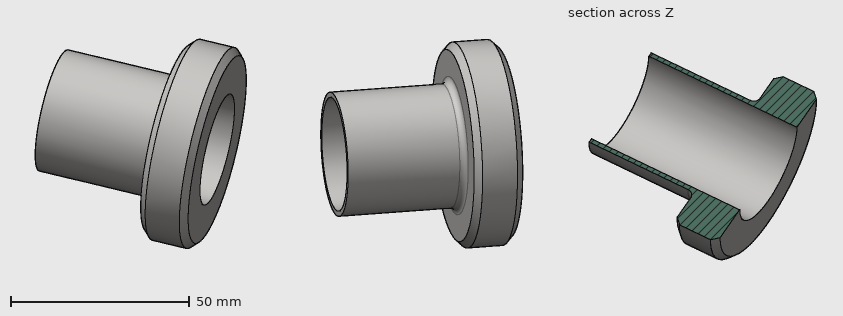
import cadquery as cq

total_length = 48.0
tube_diameter = 35.0
bore_diameter = 32.0
flange_diameter = 58.0
flange_thickness = 14.0
flange_chamfer = 2.0
neck_fillet = 2.0

flange_start = total_length - flange_thickness


def chamfered_flange():
    """Disc with both outer rims chamfered."""
    disc = cq.Workplane("YZ", origin=(flange_start, 0, 0)).circle(flange_diameter / 2)
    return disc.extrude(flange_thickness).edges().chamfer(flange_chamfer)


def tube():
    """Solid cylinder from the open end to the flange face."""
    return cq.Workplane("YZ").circle(tube_diameter / 2).extrude(flange_start)


def neck():
    """Ring with a concave quarter-round section, in the corner between tube and flange."""
    tube_radius = tube_diameter / 2
    outer_radius = tube_radius + neck_fillet
    neck_start = flange_start - neck_fillet
    arc_offset = neck_fillet * 0.5 ** 0.5
    arc_middle = (neck_start + arc_offset, outer_radius - arc_offset)
    inner_radius = bore_diameter / 2
    section = (
        cq.Workplane("XY")
        .moveTo(neck_start, inner_radius)
        .lineTo(neck_start, tube_radius)
        .threePointArc(arc_middle, (flange_start, outer_radius))
        .lineTo(flange_start, inner_radius)
        .close()
    )
    return section.revolve(360, (0, 0, 0), (1, 0, 0))


def bore():
    """Cylinder that opens the sleeve from end to end."""
    return cq.Workplane("YZ").circle(bore_diameter / 2).extrude(total_length)


result = chamfered_flange().union(tube()).union(neck()).cut(bore())